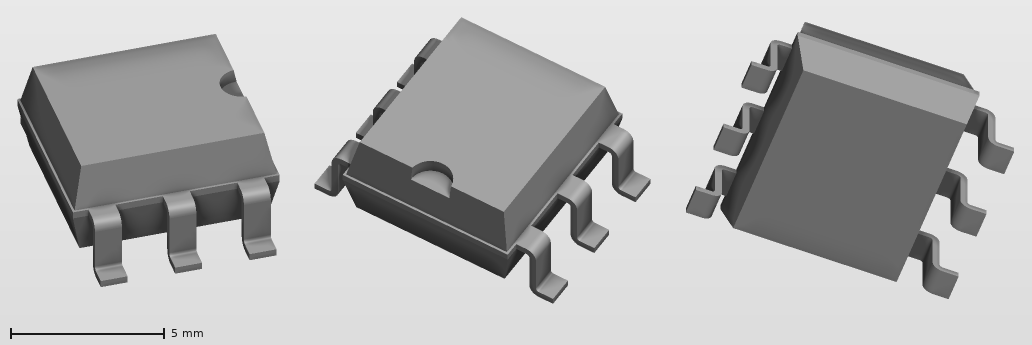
import cadquery as cq

span_x = 9.19
body_length = 7.05
total_height = 3.68

body_width = 6.36
lead_thickness = 0.25
half_height = 1.53
taper_inset = 0.32
upper_step = 0.08

notch_radius = 0.74
notch_depth = 0.5
notch_center_y = 3.2

lead_width = 0.92
lead_pitch = 2.54
lead_rows = 3
leg_outer_x = 3.93
inner_bend = 0.12
outer_bend = inner_bend + lead_thickness

band_top = total_height - half_height
band_bottom = band_top - lead_thickness


def frustum(width, length, base_z, height):
    """Tapered block that narrows by taper_inset per side away from base_z."""
    return (
        cq.Workplane("XY")
        .workplane(offset=base_z)
        .rect(width, length)
        .workplane(offset=height)
        .rect(width - 2 * taper_inset, length - 2 * taper_inset)
        .loft(ruled=True)
    )


def make_body():
    band = cq.Workplane("XY").box(body_width, body_length, lead_thickness, centered=(True, True, False))
    band = band.translate((0, 0, band_bottom))
    upper = frustum(body_width - 2 * upper_step, body_length - 2 * upper_step, band_top, half_height)
    lower = frustum(body_width, body_length, band_bottom, -half_height)
    notch = (
        cq.Workplane("XY")
        .workplane(offset=total_height - notch_depth)
        .center(0, notch_center_y)
        .circle(notch_radius)
        .extrude(notch_depth)
    )
    return band.union(upper).union(lower).cut(notch)


def make_lead():
    """Lead on the +X side, centred on Y = 0, running into the body's band."""
    root_x = body_width / 2 - upper_step
    tip_x = span_x / 2
    leg_inner_x = leg_outer_x - lead_thickness
    profile = (
        cq.Workplane("XZ")
        .moveTo(root_x, band_top)
        .lineTo(leg_outer_x - outer_bend, band_top)
        .radiusArc((leg_outer_x, band_top - outer_bend), outer_bend)
        .lineTo(leg_outer_x, lead_thickness + inner_bend)
        .radiusArc((leg_outer_x + inner_bend, lead_thickness), -inner_bend)
        .lineTo(tip_x, lead_thickness)
        .lineTo(tip_x, 0)
        .lineTo(leg_inner_x + outer_bend, 0)
        .radiusArc((leg_inner_x, outer_bend), outer_bend)
        .lineTo(leg_inner_x, band_bottom - inner_bend)
        .radiusArc((leg_inner_x - inner_bend, band_bottom), -inner_bend)
        .lineTo(root_x, band_bottom)
        .close()
    )
    return profile.extrude(lead_width / 2, both=True)


result = make_body()
right_lead = make_lead()
left_lead = right_lead.mirror("YZ")
for row in range(lead_rows):
    row_y = (row - (lead_rows - 1) / 2) * lead_pitch
    for lead in (left_lead, right_lead):
        result = result.union(lead.translate((0, row_y, 0)))